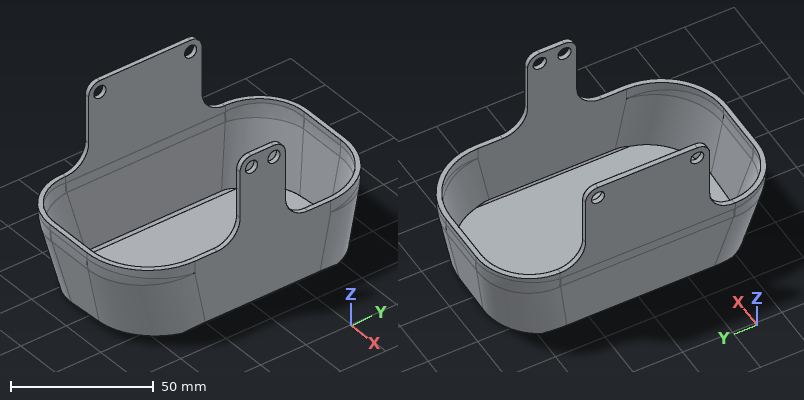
import cadquery as cq
import math

length = 114.0
width = 70.0
total_height = 69.8
rim_z = 34.9
wall = 2.0

left_radius = 21.7
right_radius = 27.0
taper_start_z = rim_z - 5.0
left_draft = 10.0
end_draft = 11.3
blend_radius = 25.0

left_bottom_x = -27.7
right_bottom_x = 33.3
right_bottom_z = 4.6
bevel_height = 1.9
left_bevel_width = 2.5
bevel_reach = 11.4

left_tab_width = 50.0
right_tab_width = 20.0
tab_corner_radius = 5.0
tab_root_radius = 10.0
hole_diameter = 5.2

tolerance = 0.1


def plan_section(z, inset, left_shift=0.0, end_shift=0.0):
    """Rounded plan outline; the shifts move the -X wall and the Y walls inward."""
    left = -width / 2 + inset + left_shift
    right = width / 2 - inset
    half = length / 2 - inset - end_shift
    rl = left_radius - inset
    rr = right_radius - inset
    diagonal = math.sqrt(0.5)
    return (
        cq.Workplane("XY", origin=(0, 0, z))
        .moveTo(left + rl, -half)
        .lineTo(right - rr, -half)
        .threePointArc((right - rr + rr * diagonal, -half + rr - rr * diagonal), (right, -half + rr))
        .lineTo(right, half - rr)
        .threePointArc((right - rr + rr * diagonal, half - rr + rr * diagonal), (right - rr, half))
        .lineTo(left + rl, half)
        .threePointArc((left + rl - rl * diagonal, half - rl + rl * diagonal), (left, half - rl))
        .lineTo(left, -half + rl)
        .threePointArc((left + rl - rl * diagonal, -half + rl - rl * diagonal), (left + rl, -half))
        .close()
    )


def underside_profile(inset):
    """XZ region above the sloping, bevelled underside, raised by inset."""
    slope = math.atan2(right_bottom_z, right_bottom_x - left_bottom_x)
    left_bevel_angle = math.atan2(bevel_height, left_bevel_width)
    right_bevel_angle = math.atan2(bevel_height, width / 2 - right_bottom_x)
    left_run = inset * math.tan((left_bevel_angle + slope) / 2)
    right_run = inset * math.tan((right_bevel_angle - slope) / 2)
    left_x = left_bottom_x - inset * math.sin(slope) + left_run * math.cos(slope)
    left_z = inset * math.cos(slope) + left_run * math.sin(slope)
    right_x = right_bottom_x - inset * math.sin(slope) - right_run * math.cos(slope)
    right_z = right_bottom_z + inset * math.cos(slope) - right_run * math.sin(slope)
    left_rise = bevel_reach * math.tan(left_bevel_angle)
    right_rise = bevel_reach * math.tan(right_bevel_angle)
    return (
        cq.Workplane("XZ")
        .moveTo(left_x, left_z)
        .lineTo(right_x, right_z)
        .lineTo(right_x + bevel_reach, right_z + right_rise)
        .lineTo(right_x + bevel_reach, total_height)
        .lineTo(left_x - bevel_reach, total_height)
        .lineTo(left_x - bevel_reach, left_z + left_rise)
        .close()
        .extrude(length, both=True)
    )


def tub_solid(inset):
    """Filled tub shape with every wall and the underside moved inward by inset."""
    bend_z = taper_start_z + inset * math.tan(math.radians(left_draft / 2))
    left_shift = bend_z * math.tan(math.radians(left_draft))
    end_shift = bend_z * math.tan(math.radians(end_draft))
    bottom = plan_section(0, inset, left_shift, end_shift).wire().val()
    bend = plan_section(bend_z, inset).wire().val()
    tapered = cq.Workplane(cq.Solid.makeLoft([bottom, bend], True))
    band = plan_section(bend_z, inset).extrude(rim_z - bend_z)
    tub = tapered.union(band)
    right_corner_x = width / 2 - right_radius
    bend_edges = [
        e for e in tub.edges().vals()
        if abs(e.Center().z - bend_z) < tolerance
        and e.BoundingBox().zlen < tolerance
        and e.Center().x < right_corner_x
    ]
    tub = tub.newObject(bend_edges).fillet(blend_radius - inset)
    return tub.intersect(underside_profile(inset))


def hanging_tab(outer_x, tab_width):
    """Upright plate flush with a long wall, flared at its root, with two holes."""
    half = tab_width / 2
    r = tab_root_radius
    rc = tab_corner_radius
    side = -math.copysign(1, outer_x)
    root_z = rim_z - wall
    root_mid = r * (1 - math.sqrt(0.5))
    plane = cq.Workplane("YZ", origin=(outer_x, 0, 0))
    plate = (
        plane.moveTo(-half - r, root_z)
        .lineTo(half + r, root_z)
        .lineTo(half + r, rim_z)
        .threePointArc((half + root_mid, rim_z + root_mid), (half, rim_z + r))
        .lineTo(half, total_height)
        .lineTo(-half, total_height)
        .lineTo(-half, rim_z + r)
        .threePointArc((-half - root_mid, rim_z + root_mid), (-half - r, rim_z))
        .close()
        .extrude(side * wall)
    )
    plate = plate.edges("|X and >Z").fillet(rc)
    holes = (
        plane.pushPoints([(sign * (half - rc), total_height - rc) for sign in (-1, 1)])
        .circle(hole_diameter / 2)
        .extrude(side * wall)
    )
    return plate.cut(holes)


tub = tub_solid(0).cut(tub_solid(wall))
left_tab = hanging_tab(-width / 2, left_tab_width)
right_tab = hanging_tab(width / 2, right_tab_width)
result = tub.union(left_tab).union(right_tab)